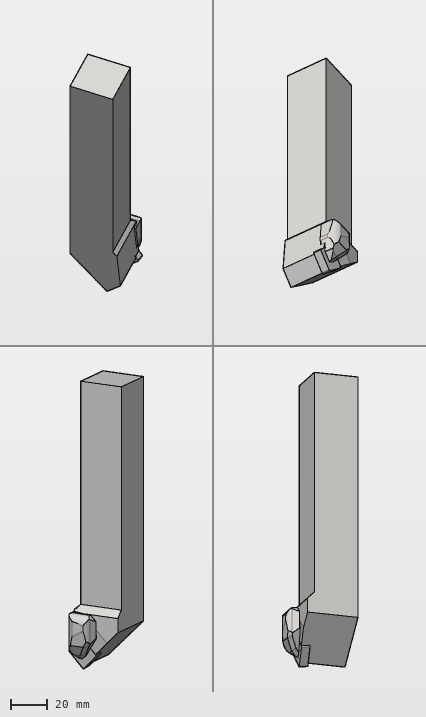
import cadquery as cq
import math

TOTAL_LENGTH = 160.7
SHANK = 25.0

HEAD_TOP = 29.0
SHOULDER_Z = 35.7
SIDE_BULGE_X = 27.5
SIDE_TIP = (29.5, 10.0)
LEFT_CORNER_Z = 23.8
NOSE_Z = (SIDE_TIP[1] - SIDE_TIP[0] + LEFT_CORNER_Z) / 2
NOSE_X = LEFT_CORNER_Z - NOSE_Z

SEAT_ANGLE = 7.5
SLOPE_START = -7.2
SLOPE_LENGTH = 48.2
CUT_HEIGHT = 16.0

INSERT_SIDE = 12.9
INSERT_THICKNESS = 4.8
INSERT_CORNER_RADIUS = 0.6
INSERT_TIP_X = 23.0

CLAMP_TOP = 35.2
CLAMP_FOOT_Y = 24.1
CLAMP_BACK_Z = 31.5
CLAMP_TIP_Z = 5.1
CLAMP_LEFT_X = 13.5
CLAMP_LEFT_TOP_Z = 28.3
CLAMP_LEFT_LOW_Z = 18.8
CLAMP_TIP_CORNER = (21.2, 7.2)
CLAMP_BEVEL = 2.0

diagonal = math.sqrt(0.5)
seat_sin = math.sin(math.radians(SEAT_ANGLE))
seat_cos = math.cos(math.radians(SEAT_ANGLE))
edge_direction = cq.Vector(diagonal, 0, diagonal)
fall_direction = cq.Vector(seat_cos * diagonal, -seat_sin, -seat_cos * diagonal)
seat_normal = edge_direction.cross(fall_direction)


def seat_plane(x, z):
    """Plane on the seat above (x, z): local x along the edge, y down the slope, z out of the seat."""
    fall_distance = (x - z) * diagonal - SLOPE_START
    y = HEAD_TOP - fall_distance * seat_sin / seat_cos
    return cq.Plane(origin=(x, y, z), xDir=edge_direction, normal=seat_normal)


def prism_along_y(points, start, end):
    """Extrude an (X, Z) outline from Y = start to Y = end."""
    plane = cq.Workplane("XZ", origin=(0, start, 0))
    return plane.polyline(points).close().extrude(start - end)


def make_insert():
    """Square insert lying on its side in the seat, its lowest rounded corner at Z = 0."""
    corner_setback = INSERT_CORNER_RADIUS * (math.sqrt(2) - 1)
    plane = seat_plane(INSERT_TIP_X, -corner_setback)
    half = INSERT_SIDE / 2
    return (
        cq.Workplane(plane)
        .center(half, -half)
        .rect(INSERT_SIDE, INSERT_SIDE)
        .extrude(-INSERT_THICKNESS)
        .edges(cq.selectors.ParallelDirSelector(seat_normal))
        .fillet(INSERT_CORNER_RADIUS)
    )


def make_shank_and_head():
    outline = [
        (0, TOTAL_LENGTH),
        (SHANK, TOTAL_LENGTH),
        (SHANK, SHOULDER_Z),
        (SIDE_BULGE_X, SHOULDER_Z - (SIDE_BULGE_X - SHANK)),
        SIDE_TIP,
        (NOSE_X, NOSE_Z),
        (0, LEFT_CORNER_Z),
    ]
    body = prism_along_y(outline, 0, HEAD_TOP)

    rise = HEAD_TOP - SHANK
    shank_clearance = (
        cq.Workplane("YZ")
        .polyline([
            (HEAD_TOP, SHOULDER_Z - rise),
            (SHANK, SHOULDER_Z),
            (SHANK, TOTAL_LENGTH),
            (HEAD_TOP, TOTAL_LENGTH),
        ])
        .close()
        .extrude(SIDE_TIP[0])
    )
    body = body.cut(shank_clearance)

    start_x = SLOPE_START * diagonal
    plane = seat_plane(start_x, -start_x)
    slope_cut = (
        cq.Workplane(plane)
        .center(0, SLOPE_LENGTH / 2)
        .rect(2 * SLOPE_LENGTH, SLOPE_LENGTH)
        .extrude(CUT_HEIGHT)
    )
    return body.cut(slope_cut)


def make_clamp():
    """Clamp finger, the common volume of its plan, its side profile and its end profile."""
    plan = [
        (CLAMP_LEFT_X, CLAMP_LEFT_TOP_Z),
        (16.7, CLAMP_BACK_Z),
        (28.6, CLAMP_BACK_Z),
        (29.7, 19.0),
        (28.0, 10.0),
        (23.3, CLAMP_TIP_Z),
        CLAMP_TIP_CORNER,
        (CLAMP_LEFT_X, CLAMP_LEFT_LOW_Z),
    ]
    clamp = prism_along_y(plan, CLAMP_FOOT_Y, CLAMP_TOP)

    side_profile = (
        cq.Workplane("YZ")
        .moveTo(CLAMP_FOOT_Y, CLAMP_BACK_Z)
        .lineTo(29.5, CLAMP_BACK_Z)
        .threePointArc((33.5, 30.0), (CLAMP_TOP, 26.5))
        .lineTo(CLAMP_TOP, 23.8)
        .lineTo(34.0, 14.5)
        .lineTo(30.4, 8.5)
        .lineTo(26.7, CLAMP_TIP_Z)
        .lineTo(CLAMP_FOOT_Y, CLAMP_TIP_Z)
        .close()
        .extrude(SHANK + CLAMP_TOP)
    )

    end_profile = (
        cq.Workplane("XY")
        .moveTo(CLAMP_LEFT_X, CLAMP_FOOT_Y)
        .lineTo(CLAMP_LEFT_X, HEAD_TOP)
        .lineTo(15.3, 32.5)
        .threePointArc((16.4, 34.2), (18.2, CLAMP_TOP))
        .lineTo(25.0, 34.7)
        .threePointArc((28.0, 32.8), (29.5, HEAD_TOP))
        .lineTo(29.5, CLAMP_FOOT_Y)
        .close()
        .extrude(SHOULDER_Z)
    )
    clamp = clamp.intersect(side_profile)

    bevel_region = cq.selectors.BoxSelector(
        (CLAMP_LEFT_X - 1.6, HEAD_TOP, CLAMP_TIP_CORNER[1]),
        (CLAMP_TIP_CORNER[0], CLAMP_TOP + 1.6, CLAMP_LEFT_TOP_Z),
    )
    roof_edges = clamp.edges(bevel_region).edges("not #Z").edges("not |Y")
    return roof_edges.chamfer(CLAMP_BEVEL).intersect(end_profile)


insert = make_insert()
holder = make_shank_and_head().union(make_clamp()).cut(insert)

result = cq.Compound.makeCompound([holder.solids().val(), insert.solids().val()])